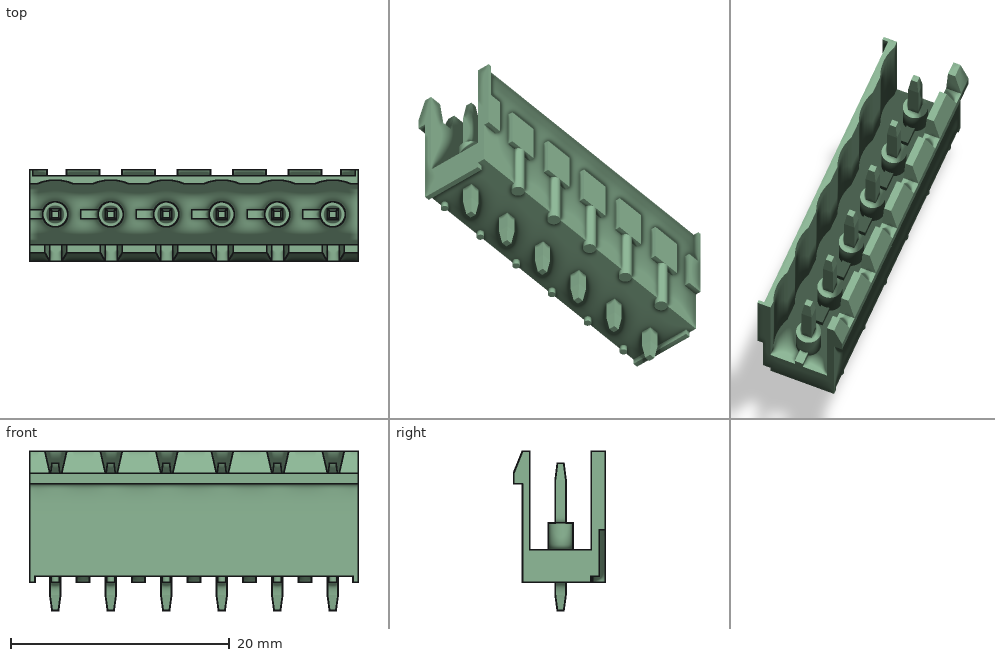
import cadquery as cq


pin_count = 6
pitch = 5.08
housing_length = 30.08
end_margin = (housing_length - pitch * (pin_count - 1)) / 2
left_x = -end_margin
right_x = left_x + housing_length
pin_places = [i * pitch for i in range(pin_count)]
between_places = [x + pitch / 2 for x in pin_places[:-1]]

housing_height = 12.0
standoff_height = 0.55
floor_top = 3.0
cavity_half_width = 2.8
front_wall_thickness = 0.7
back_wall_thickness = 0.75
front_y = -cavity_half_width - front_wall_thickness
back_y = cavity_half_width + back_wall_thickness
end_leg_length = 0.5

latch_reach = 0.8
latch_bottom = 9.0
latch_slope_bottom = 10.0
notch_bottom_width = 1.1
notch_top_width = 2.0
notch_offset = 0.05

scallop_width = 3.3
scallop_depth = 0.34

pad_thickness = 0.55
pad_bottom = 4.8
pad_top = 8.4
pad_width = 3.03
end_pad_reach = 1.6
end_lip_thickness = 0.3

collar_diameter = 2.3
collar_top = 5.45
rib_reach = 2.75
rib_width = 0.8
rib_height = 0.55

front_post_diameter = 0.7
back_post_diameter = 1.2

pin_width = 1.0
pin_tip_width = 0.6
pin_top = 10.9
pin_upper_taper = 9.35
pin_lower_taper = -1.15
pin_bottom = -2.6


def block(x_min, x_max, y_min, y_max, z_min, z_max):
    """Box given by its limits along each axis."""
    size = (x_max - x_min, y_max - y_min, z_max - z_min)
    return cq.Workplane("XY").box(*size, centered=False).translate((x_min, y_min, z_min))


def post(x, y, diameter, z_min, z_max):
    """Upright cylinder."""
    return cq.Workplane("XY", origin=(x, y, z_min)).circle(diameter / 2).extrude(z_max - z_min)


def make_trough():
    """U-shaped channel, open at both ends, with the latch rail along its front wall."""
    outline = [
        (back_y, standoff_height),
        (back_y, housing_height),
        (cavity_half_width, housing_height),
        (cavity_half_width, floor_top),
        (-cavity_half_width, floor_top),
        (-cavity_half_width, housing_height),
        (front_y, housing_height),
        (front_y - latch_reach, latch_slope_bottom),
        (front_y - latch_reach, latch_bottom),
        (front_y, latch_bottom),
        (front_y, standoff_height),
    ]
    return cq.Workplane("YZ", origin=(left_x, 0, 0)).polyline(outline).close().extrude(housing_length)


def make_latch_notch(x):
    """Tapered notch that opens the top of the front wall."""
    outline = [
        (x - notch_bottom_width / 2, latch_slope_bottom),
        (x + notch_bottom_width / 2, latch_slope_bottom),
        (x + notch_top_width / 2, housing_height),
        (x - notch_top_width / 2, housing_height),
    ]
    depth = front_wall_thickness + latch_reach
    return cq.Workplane("XZ", origin=(0, -cavity_half_width, 0)).polyline(outline).close().extrude(depth)


def make_scallop(x):
    """Shallow arc-shaped recess in the back wall, facing a pin."""
    return (
        cq.Workplane("XY", origin=(x, cavity_half_width, floor_top))
        .moveTo(-scallop_width / 2, 0)
        .threePointArc((0, scallop_depth), (scallop_width / 2, 0))
        .close()
        .extrude(housing_height - floor_top)
    )


def make_collar_and_rib(x):
    """Collar around a pin, with a low rib running from it toward -X up to the housing end."""
    rib_start = max(x - rib_reach, left_x)
    half_rib = rib_width / 2
    rib = block(rib_start, x, -half_rib, half_rib, floor_top, floor_top + rib_height)
    return post(x, 0, collar_diameter, floor_top, collar_top).union(rib)


def make_back_pads():
    """Pads and full-height end lips on the outer face of the back wall."""
    outer_y = back_y + pad_thickness
    pads = block(left_x, left_x + end_lip_thickness, back_y, outer_y, pad_bottom, housing_height)
    pads = pads.union(
        block(right_x - end_lip_thickness, right_x, back_y, outer_y, pad_bottom, housing_height)
    )
    pads = pads.union(block(left_x, left_x + end_pad_reach, back_y, outer_y, pad_bottom, pad_top))
    pads = pads.union(block(right_x - end_pad_reach, right_x, back_y, outer_y, pad_bottom, pad_top))
    for x in between_places:
        pads = pads.union(
            block(x - pad_width / 2, x + pad_width / 2, back_y, outer_y, pad_bottom, pad_top)
        )
    return pads


def make_housing():
    housing = make_trough().union(make_back_pads())

    for x in (left_x, right_x - end_leg_length):
        leg = block(x, x + end_leg_length, front_y, cavity_half_width, 0, standoff_height)
        housing = housing.union(leg)

    back_post_y = back_y + pad_thickness - back_post_diameter / 2
    for x in between_places:
        housing = housing.union(post(x, back_post_y, back_post_diameter, 0, pad_bottom))

    front_post_y = front_y + front_post_diameter / 2
    for x in pin_places:
        housing = housing.union(post(x, front_post_y, front_post_diameter, 0, standoff_height))
        housing = housing.union(make_collar_and_rib(x))
        housing = housing.cut(make_latch_notch(x + notch_offset))
        housing = housing.cut(make_scallop(x))

    half_pin = pin_width / 2
    for x in pin_places:
        hole = block(x - half_pin, x + half_pin, -half_pin, half_pin, standoff_height, collar_top)
        housing = housing.cut(hole)
    return housing


def make_pin_tip(x, z_base, z_end):
    """Tapered pin end that narrows from the full width to the tip width."""
    return (
        cq.Workplane("XY", origin=(x, 0, z_base))
        .rect(pin_width, pin_width)
        .workplane(offset=z_end - z_base)
        .rect(pin_tip_width, pin_tip_width)
        .loft(ruled=True)
    )


def make_pin(x):
    """Square pin, tapered at both ends."""
    half_pin = pin_width / 2
    shank = block(x - half_pin, x + half_pin, -half_pin, half_pin, pin_lower_taper, pin_upper_taper)
    upper_tip = make_pin_tip(x, pin_upper_taper, pin_top)
    lower_tip = make_pin_tip(x, pin_lower_taper, pin_bottom)
    return shank.union(upper_tip).union(lower_tip)


housing = make_housing()
pins = [make_pin(x) for x in pin_places]

result = cq.Compound.makeCompound([housing.val(), *[pin.val() for pin in pins]])